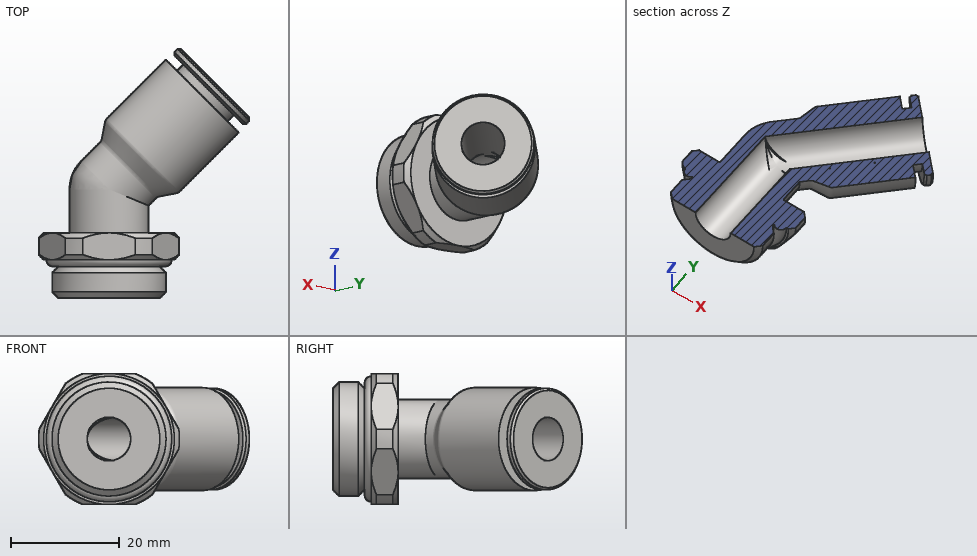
import cadquery as cq
import math

spigot_radius = 10.48
spigot_length = 5.8
spigot_chamfer = 1.15

ring_radius = 11.55
ring_height = 1.25

hex_across_flats = 24.0
hex_corner_radius = 12.95
hex_height = 4.95
hex_bevel_height = 0.95

stem_radius = 7.27
elbow_y = 20.0
bend_angle = 45

cone_start = 5.25
sleeve_start = 8.5
sleeve_end = 24.2
cone_rounding = 1.0
sleeve_radius = 9.45
collar_neck_radius = 6.6
flange_start = 25.85
flange_end = 27.55
flange_radius = 9.35
flange_chamfer = 0.4

bore_radius = 4.0

hex_start = spigot_length + ring_height
hex_end = hex_start + hex_height
hex_flat_radius = hex_across_flats / 2


def spigot():
    end_radius = spigot_radius - spigot_chamfer
    profile = [
        (0, 0),
        (end_radius, 0),
        (spigot_radius, spigot_chamfer),
        (spigot_radius, spigot_length - spigot_chamfer),
        (end_radius, spigot_length),
        (0, spigot_length),
    ]
    return cq.Workplane("XY").polyline(profile).close().revolve(360, (0, 0), (0, 1))


def sealing_ring():
    """Round ring seated against the hexagon, around the neck of the spigot."""
    neck_radius = spigot_radius - spigot_chamfer
    neck = cq.Workplane("XZ", origin=(0, hex_start, 0)).circle(neck_radius).extrude(ring_height)
    centre_radius = ring_radius - ring_height
    half_section = (
        cq.Workplane("XY")
        .moveTo(centre_radius - ring_height, hex_start)
        .threePointArc((centre_radius, spigot_length), (ring_radius, hex_start))
        .close()
    )
    return neck.union(half_section.revolve(360, (0, 0), (0, 1)))


def hexagon():
    across_corners = hex_across_flats / math.cos(math.radians(30))
    prism = cq.Workplane("XZ", origin=(0, hex_end, 0)).polygon(6, across_corners).extrude(hex_height)
    envelope = [
        (0, hex_start),
        (hex_flat_radius, hex_start),
        (hex_corner_radius, hex_start + hex_bevel_height),
        (hex_corner_radius, hex_end - hex_bevel_height),
        (hex_flat_radius, hex_end),
        (0, hex_end),
    ]
    turned = cq.Workplane("XY").polyline(envelope).close().revolve(360, (0, 0), (0, 1))
    return prism.intersect(turned)


def elbow_wedge(radius):
    """Spherical wedge that closes the outside of the bend between two round ends."""
    half_disc = cq.Workplane("XZ").moveTo(0, -radius).threePointArc((-radius, 0), (0, radius)).close()
    wedge = half_disc.revolve(bend_angle, (0, 0.45), (0, 0))
    return wedge.translate((0, elbow_y, 0))


def stem():
    straight = cq.Workplane("XZ", origin=(0, elbow_y, 0)).circle(stem_radius).extrude(elbow_y - hex_start)
    return straight.union(elbow_wedge(stem_radius))


def turn_towards_arm(body):
    """Move a body built along +Y from the origin onto the inclined arm axis."""
    return body.rotate((0, 0, 0), (0, 0, 1), -bend_angle).translate((0, elbow_y, 0))


def arm():
    profile = [
        (0, 0),
        (stem_radius, 0),
        (stem_radius, cone_start),
        (sleeve_radius, sleeve_start),
        (sleeve_radius, sleeve_end),
        (collar_neck_radius, sleeve_end),
        (collar_neck_radius, flange_start),
        (flange_radius - flange_chamfer, flange_start),
        (flange_radius, flange_start + flange_chamfer),
        (flange_radius, flange_end - flange_chamfer),
        (flange_radius - flange_chamfer, flange_end),
        (0, flange_end),
    ]
    turned = cq.Workplane("XY").polyline(profile).close().revolve(360, (0, 0), (0, 1))
    cone = turned.faces("%CONE").faces("<Y")
    return turn_towards_arm(cone.edges("%CIRCLE").fillet(cone_rounding))


def bore():
    """Two straight bores, each run past the elbow centre so that they meet in a sharp mitre."""
    overrun = bore_radius * math.tan(math.radians(bend_angle / 2))
    inlet_length = elbow_y + overrun
    inlet = cq.Workplane("XZ").circle(bore_radius).extrude(-inlet_length)
    outlet = cq.Workplane("XZ", origin=(0, -overrun, 0)).circle(bore_radius).extrude(-flange_end - overrun)
    return inlet.union(turn_towards_arm(outlet))


body = spigot().union(sealing_ring()).union(hexagon()).union(stem()).union(arm())
result = body.cut(bore())